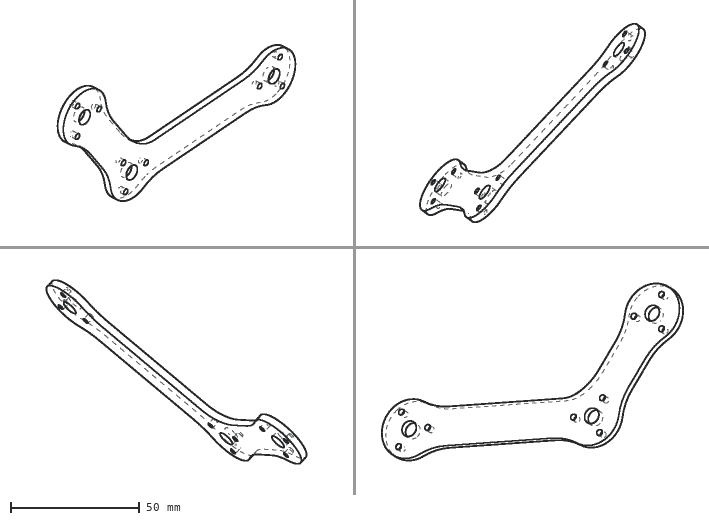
import cadquery as cq
import math

overall_length = 131.3
thickness = 3.2
hub_radius = 12.1
arm_width = 16.0
short_arm_length = 46.5
long_arm_angle = 5
angle_between_arms = 120
short_arm_angle = long_arm_angle + angle_between_arms

blend_radius = 24.0
inner_elbow_radius = 13.0

bore_diameter = 6.3
screw_diameter = 2.4
screw_circle_radius = 8.1
screws_per_hub = 3
short_arm_screw_angle = 0

half_width = arm_width / 2

short_arm_reach = -short_arm_length * math.cos(math.radians(short_arm_angle))
long_arm_reach = overall_length - 2 * hub_radius - short_arm_reach
long_arm_length = long_arm_reach / math.cos(math.radians(long_arm_angle))


def polar(radius, angle):
    """Point in the YZ plane at a distance and angle from the elbow."""
    return (radius * math.cos(math.radians(angle)), radius * math.sin(math.radians(angle)))


elbow_center = (0, 0)
long_end = polar(long_arm_length, long_arm_angle)
short_end = polar(short_arm_length, short_arm_angle)


def blend_points(radius):
    """Hub tangent, middle and arm tangent of a blend, for a hub at the origin and an arm along +Y."""
    center_height = half_width + radius
    center_distance = hub_radius + radius
    center_along = math.sqrt(center_distance**2 - center_height**2)
    hub_share = hub_radius / center_distance
    hub_tangent = (center_along * hub_share, center_height * hub_share)
    arm_tangent = (center_along, half_width)
    half_sweep = math.asin(center_along / center_distance) / 2
    middle = (
        center_along - radius * math.sin(half_sweep),
        center_height - radius * math.cos(half_sweep),
    )
    return hub_tangent, middle, arm_tangent


def arm(length, angle, left_elbow_radius=blend_radius):
    """Arm leaving the elbow at an angle, with blends that run onto the hubs at both ends."""
    hub_left, middle_left, arm_left = blend_points(left_elbow_radius)
    hub, middle, tangent = blend_points(blend_radius)

    def at_end(point):
        return (length - point[0], point[1])

    def on_right(point):
        return (point[0], -point[1])

    return (
        cq.Workplane("YZ")
        .moveTo(*hub_left)
        .threePointArc(middle_left, arm_left)
        .lineTo(*at_end(tangent))
        .threePointArc(at_end(middle), at_end(hub))
        .lineTo(*on_right(at_end(hub)))
        .threePointArc(on_right(at_end(middle)), on_right(at_end(tangent)))
        .lineTo(*on_right(tangent))
        .threePointArc(on_right(middle), on_right(hub))
        .close()
        .extrude(thickness / 2, both=True)
        .rotate((0, 0, 0), (1, 0, 0), angle)
    )


def disc(center, diameter):
    """Cylinder along X through the full plate thickness."""
    return cq.Workplane("YZ").center(*center).circle(diameter / 2).extrude(thickness / 2, both=True)


def hub_holes(center, first_angle):
    """Central bore with a ring of screw holes around it."""
    holes = disc(center, bore_diameter)
    for index in range(screws_per_hub):
        offset = polar(screw_circle_radius, first_angle + index * 360 / screws_per_hub)
        holes = holes.union(disc((center[0] + offset[0], center[1] + offset[1]), screw_diameter))
    return holes


result = arm(long_arm_length, long_arm_angle, inner_elbow_radius)
result = result.union(arm(short_arm_length, short_arm_angle))
for hub_center in (elbow_center, long_end, short_end):
    result = result.union(disc(hub_center, 2 * hub_radius))

result = result.cut(hub_holes(elbow_center, long_arm_angle))
result = result.cut(hub_holes(long_end, long_arm_angle + 180))
result = result.cut(hub_holes(short_end, short_arm_screw_angle))